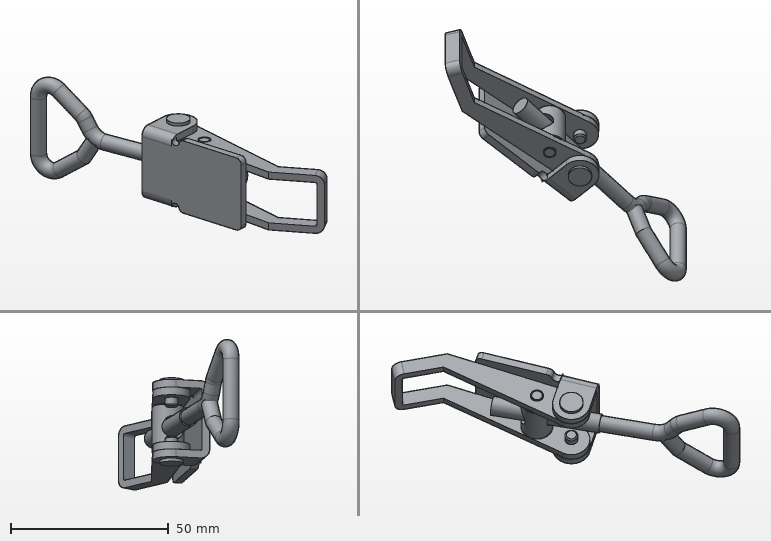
import cadquery as cq
import math


overall_length = 112.8
lever_tip_x = 59.5

sheet = 2.5
ear_radius = 6.0
ear_length = 2 * ear_radius
bracket_length = 40.0
bracket_half_width = 12.5
base_bottom = -11.0
bend_outer_radius = 3.0
bend_inner_radius = bend_outer_radius - sheet
plate_corner_radius = 2.0
notch_depth = 2.5
notch_radius = 1.5

lever_half_width = bracket_half_width - sheet
lever_inner_half_width = lever_half_width - sheet
lever_hub_radius = 5.9
arm_top_slope = math.radians(12.8)
arm_bottom_slope = math.radians(4.2)
elbow_top_x = 43.3
elbow_bottom_x = 43.5
handle_angle = 28.0

rivet_head_radius = 3.7
rivet_head_height = 1.0
rivet_shank_radius = 2.0
rivet_tip_z = 5.0
rivet_tip_chamfer = 0.5

barrel_x = 11.8
barrel_y = -1.7
barrel_radius = 5.1
barrel_chamfer = 0.3
journal_radius = 2.0
journal_chamfer = 0.3
rod_hole_radius = 3.7
rod_hole_angle = 12.0

rod_angle = 5.0
wire_radius = 2.6
thread_radius = 3.0
thread_start = -20.5
thread_end = 14.4
ring_apex = -41.4
apex_bend_radius = 6.8
ring_kink = -45.8
ring_kink_half_width = 7.0
kink_bend_radius = 4.9
ring_far_x = lever_tip_x - overall_length + wire_radius
ring_far = (ring_far_x - barrel_x) / math.cos(math.radians(rod_angle))
ring_corner_half_width = 19.3
corner_bend_radius = 4.9


def cylinder(radius, bottom, top, x=0, y=0):
    return cq.Workplane("XY", origin=(x, y, bottom)).circle(radius).extrude(top - bottom)


def ear_block(floor, half_width, edge_radius):
    """Block as long as the ears, from the floor up, with its two lower long edges rounded."""
    height = ear_radius - floor
    return (
        cq.Workplane("XY", origin=(0, floor, 0))
        .box(ear_length, height, 2 * half_width, centered=(True, False, True))
        .edges("|X and <Y")
        .fillet(edge_radius)
    )


def make_ears():
    """U-shaped front of the bracket, whose two ears are round around the pivot."""
    outer = ear_block(base_bottom, bracket_half_width, bend_outer_radius)
    inner = ear_block(base_bottom + sheet, lever_half_width, bend_inner_radius)
    ear_outline = (
        cq.Workplane("XY", origin=(0, 0, -bracket_half_width))
        .moveTo(-ear_radius, base_bottom)
        .lineTo(ear_radius, base_bottom)
        .lineTo(ear_radius, 0)
        .threePointArc((0, ear_radius), (-ear_radius, 0))
        .close()
        .extrude(2 * bracket_half_width)
    )
    return outer.cut(inner).intersect(ear_outline)


def make_plate():
    """Flat rear of the bracket, with a notch behind each ear."""
    center_distance = notch_radius + plate_corner_radius
    groove_z = bracket_half_width - notch_depth + notch_radius
    rounding_z = bracket_half_width - plate_corner_radius
    groove_x = ear_radius + notch_radius
    rounding_x = groove_x + math.sqrt(center_distance**2 - (groove_z - rounding_z) ** 2)
    groove_share = notch_radius / center_distance
    joint = (
        groove_x + (rounding_x - groove_x) * groove_share,
        groove_z + (rounding_z - groove_z) * groove_share,
    )
    shoulder_offset = plate_corner_radius * math.sqrt(0.5)
    shoulder = (rounding_x - shoulder_offset, rounding_z + shoulder_offset)
    plate_end = bracket_length - ear_radius
    half_plate = (
        cq.Workplane("XZ", origin=(0, base_bottom, 0))
        .moveTo(ear_radius, 0)
        .lineTo(ear_radius, groove_z)
        .threePointArc((groove_x, groove_z - notch_radius), joint)
        .threePointArc(shoulder, (rounding_x, bracket_half_width))
        .lineTo(plate_end, bracket_half_width)
        .lineTo(plate_end, 0)
        .close()
        .extrude(-sheet)
        .edges("|Y and >X and >Z")
        .fillet(plate_corner_radius)
    )
    return half_plate.union(half_plate.mirror("XY"))


def make_bracket():
    pivot_hole = cylinder(rivet_shank_radius, -bracket_half_width, bracket_half_width)
    return make_ears().union(make_plate()).cut(pivot_hole)


def handle_strip(half_width, corner_radius, end):
    """Block along the handle that stops, with rounded corners, at a distance from the pivot."""
    reach = 2 * bracket_length
    return (
        cq.Workplane("XY", origin=(end - reach, 0, 0))
        .box(2 * reach, reach, 2 * half_width)
        .edges("|Y and >X")
        .fillet(corner_radius)
        .rotate((0, 0, 0), (0, 0, 1), handle_angle)
    )


def make_lever():
    """Two cranked arms joined by a bar at the end of the handle."""
    hub = lever_hub_radius
    along_x = math.cos(math.radians(handle_angle))
    along_y = math.sin(math.radians(handle_angle))

    hub_top = (hub * math.sin(arm_top_slope), hub * math.cos(arm_top_slope))
    hub_bottom = (-hub * math.sin(arm_bottom_slope), -hub * math.cos(arm_bottom_slope))
    elbow_top_y = hub / math.cos(arm_top_slope) - elbow_top_x * math.tan(arm_top_slope)
    elbow_bottom_y = -hub / math.cos(arm_bottom_slope) - elbow_bottom_x * math.tan(arm_bottom_slope)

    lower_length = (lever_tip_x - elbow_bottom_x) / along_x
    end_distance = elbow_bottom_x * along_x + elbow_bottom_y * along_y + lower_length
    upper_length = end_distance - (elbow_top_x * along_x + elbow_top_y * along_y)
    end_bottom = (lever_tip_x, elbow_bottom_y + lower_length * along_y)
    end_top = (elbow_top_x + upper_length * along_x, elbow_top_y + upper_length * along_y)

    side_outline = (
        cq.Workplane("XY", origin=(0, 0, -lever_half_width))
        .moveTo(*hub_top)
        .threePointArc((-hub, 0), hub_bottom)
        .lineTo(elbow_bottom_x, elbow_bottom_y)
        .lineTo(*end_bottom)
        .lineTo(*end_top)
        .lineTo(elbow_top_x, elbow_top_y)
        .close()
        .extrude(2 * lever_half_width)
    )
    outer = handle_strip(lever_half_width, bend_outer_radius, end_distance)
    inner = handle_strip(lever_inner_half_width, bend_inner_radius, end_distance - sheet)
    pivot_hole = cylinder(rivet_shank_radius, -lever_half_width, lever_half_width)
    journal_hole = cylinder(journal_radius, -lever_half_width, lever_half_width, barrel_x, barrel_y)
    return side_outline.intersect(outer).cut(inner).cut(pivot_hole).cut(journal_hole)


def make_rivet(side):
    """Rivet through one ear and one lever arm; side is 1 for the +Z ear and -1 for the -Z ear."""
    shank = cylinder(rivet_shank_radius, rivet_tip_z, bracket_half_width)
    shank = shank.faces("<Z").chamfer(rivet_tip_chamfer)
    head_top = bracket_half_width + rivet_head_height
    rivet = shank.union(cylinder(rivet_head_radius, bracket_half_width, head_top))
    return rivet if side > 0 else rivet.mirror("XY")


def barrel_plane(angle):
    """Plane through the barrel's centre: local X runs at the angle to X, local Y is Z."""
    slope = math.radians(angle)
    return cq.Plane(
        origin=(barrel_x, barrel_y, 0),
        xDir=(math.cos(slope), math.sin(slope), 0),
        normal=(math.sin(slope), -math.cos(slope), 0),
    )


def cross_section(angle, start):
    """Workplane across an axis through the barrel, at a distance along that axis."""
    plane = barrel_plane(angle)
    origin = plane.toWorldCoords((start, 0, 0))
    return cq.Workplane(cq.Plane(origin=origin, xDir=(0, 0, 1), normal=plane.xDir))


def make_barrel():
    """Cross barrel with a journal in each lever arm and a clearance hole for the pull rod."""
    drum = cylinder(barrel_radius, -lever_inner_half_width, lever_inner_half_width, barrel_x, barrel_y)
    drum = drum.faces("<Z or >Z").chamfer(barrel_chamfer)
    journals = cylinder(journal_radius, -lever_half_width, lever_half_width, barrel_x, barrel_y)
    journals = journals.faces("<Z or >Z").chamfer(journal_chamfer)
    hole_reach = 2 * barrel_radius
    rod_hole = cross_section(rod_hole_angle, -hole_reach).circle(rod_hole_radius).extrude(2 * hole_reach)
    return drum.union(journals).cut(rod_hole)


def rounded_path(plane, points, radii):
    """Path through the points, each inner corner rounded by its radius; 0 keeps it sharp."""
    path = cq.Workplane(plane).moveTo(*points[0])
    for before, point, after, radius in zip(points, points[1:], points[2:], radii):
        if radius == 0:
            path = path.lineTo(*point)
            continue
        corner = cq.Vector(*point)
        back = (cq.Vector(*before) - corner).normalized()
        ahead = (cq.Vector(*after) - corner).normalized()
        half_angle = back.getAngle(ahead) / 2
        setback = radius / math.tan(half_angle)
        arc_start = corner + back * setback
        arc_end = corner + ahead * setback
        arc_middle = corner + (back + ahead).normalized() * (radius / math.sin(half_angle) - radius)
        path = path.lineTo(arc_start.x, arc_start.y)
        path = path.threePointArc((arc_middle.x, arc_middle.y), (arc_end.x, arc_end.y))
    return path.lineTo(*points[-1])


def make_pull_rod():
    """Wire bent into a closed ring, with a thicker threaded end."""
    points = [
        (thread_start, 0),
        (ring_apex, 0),
        (ring_kink, ring_kink_half_width),
        (ring_far, ring_corner_half_width),
        (ring_far, -ring_corner_half_width),
        (ring_kink, -ring_kink_half_width),
        (ring_apex, 0),
    ]
    sharp = 0
    radii = [apex_bend_radius, kink_bend_radius, corner_bend_radius, corner_bend_radius, sharp]
    path = rounded_path(barrel_plane(rod_angle), points, radii)
    wire = cross_section(rod_angle, thread_start).circle(wire_radius).sweep(path, transition="right")
    thread_length = thread_end - thread_start
    thread = cross_section(rod_angle, thread_start).circle(thread_radius).extrude(thread_length)
    return wire.union(thread)


bracket = make_bracket()
lever = make_lever()
rivets = [make_rivet(side) for side in (1, -1)]
barrel = make_barrel()
pull_rod = make_pull_rod()

bodies = [bracket, lever, *rivets, barrel, pull_rod]
result = cq.Compound.makeCompound([body.solids().val() for body in bodies])